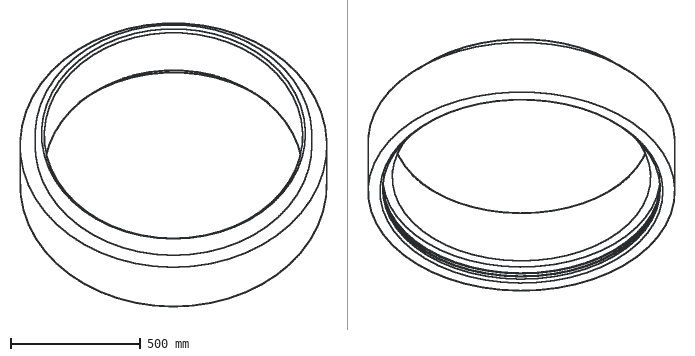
import cadquery as cq

outer_radius = 593.0
height = 324.0
bore_radius = 499.0

spigot_radius = 535.0
spigot_height = 72.0
rim_size = 11.0

socket_clearance = 1.0
socket_depth = 72.0
mouth_chamfer = 11.0

groove_depth = 4.0
groove_width = 15.0
groove_bottom_z = 26.0

shoulder_z = height - spigot_height
socket_radius = spigot_radius + socket_clearance
mouth_radius = socket_radius + mouth_chamfer
groove_radius = socket_radius + groove_depth
groove_top_z = groove_bottom_z + groove_width
rim_flat_outer = spigot_radius - rim_size
rim_flat_inner = bore_radius + rim_size
rim_start_z = height - rim_size

section = (
    cq.Workplane("XZ")
    .moveTo(mouth_radius, 0)
    .lineTo(outer_radius, 0)
    .lineTo(outer_radius, shoulder_z)
    .lineTo(spigot_radius, shoulder_z)
    .lineTo(spigot_radius, rim_start_z)
    .radiusArc((rim_flat_outer, height), -rim_size)
    .lineTo(rim_flat_inner, height)
    .lineTo(bore_radius, rim_start_z)
    .lineTo(bore_radius, socket_depth)
    .lineTo(socket_radius, socket_depth)
    .lineTo(socket_radius, groove_top_z)
    .lineTo(groove_radius, groove_top_z)
    .lineTo(groove_radius, groove_bottom_z)
    .lineTo(socket_radius, groove_bottom_z)
    .lineTo(socket_radius, mouth_chamfer)
    .close()
)

result = section.revolve(360, (0, 0, 0), (0, 1, 0))